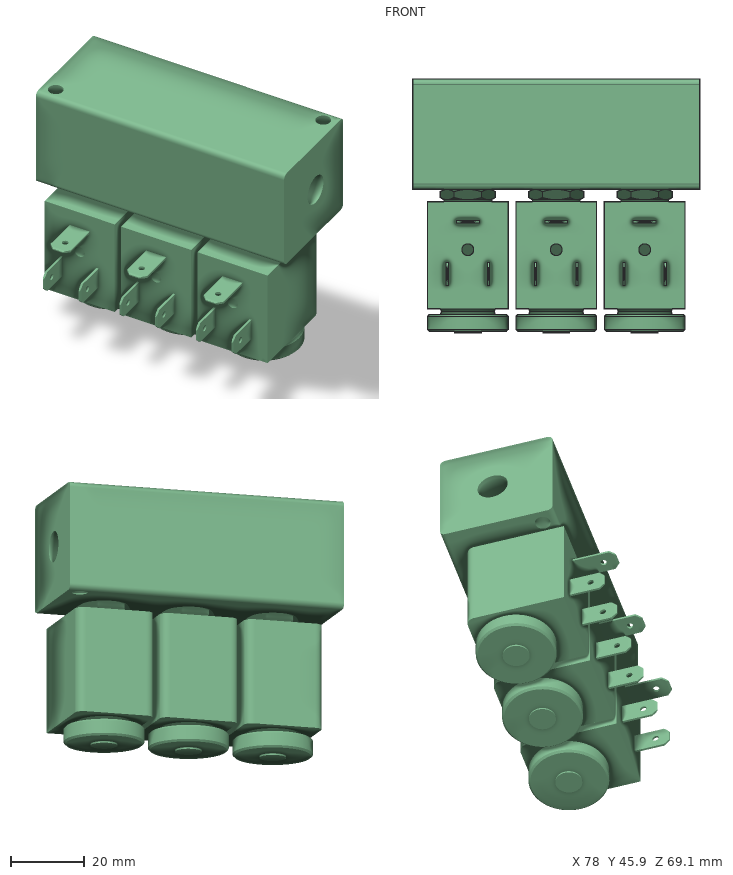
import cadquery as cq
import math


BLOCK_LENGTH = 78.0
BLOCK_DEPTH = 32.0
BLOCK_HEIGHT = 30.0
BLOCK_FRONT_Y = -15.0
BLOCK_BACK_Y = BLOCK_FRONT_Y + BLOCK_DEPTH
BLOCK_EDGE_RADIUS = 1.5
PORT_DIAMETER = 8.6
PORT_FROM_BACK = 15.0
MOUNT_HOLE_DIAMETER = 4.3
MOUNT_HOLE_INSET = 4.0

STATION_COUNT = 3
STATION_PITCH = 24.0

COIL_WIDTH = 22.0
COIL_HEIGHT = 29.1
COIL_OVERHANG = 2.0
COIL_FRONT_Y = BLOCK_FRONT_Y - COIL_OVERHANG
COIL_BACK_Y = COIL_WIDTH / 2
COIL_DEPTH = COIL_BACK_Y - COIL_FRONT_Y
COIL_BACK_RADIUS = 2.35
SCREW_HOLE_DIAMETER = 3.2
SCREW_HOLE_DEPTH = 7.8
SCREW_HOLE_DROP = 13.0

TERMINAL_WIDTH = 6.25
TERMINAL_THICKNESS = 0.6
TERMINAL_CORNER = 1.55
TERMINAL_TIP_LENGTH = 0.6
TERMINAL_TIP_INSET = 0.15
TERMINAL_HOLE_DIAMETER = 1.8
TERMINAL_HOLE_FROM_END = 4.0
GROUND_TERMINAL_LENGTH = 11.85
GROUND_TERMINAL_DROP = 5.45
POWER_TERMINAL_LENGTH = 10.0
POWER_TERMINAL_DROP = 19.6
POWER_TERMINAL_SPACING = 11.2

HEX_SIDES = 6
HEX_ACROSS_FLATS = 13.0
HEX_HEIGHT = 2.8
HEX_FACE_DIAMETER = HEX_ACROSS_FLATS
HEX_CHAMFER_HEIGHT = 0.6
COLLAR_DIAMETER = HEX_ACROSS_FLATS
COLLAR_HEIGHT = 0.55
STEM_DIAMETER = 7.3
STEM_PROTRUSION = 0.5
WASHER_DIAMETER = 15.0
WASHER_WAIST_DIAMETER = 14.35
WASHER_HEIGHT = 1.5
NUT_DIAMETER = COIL_WIDTH
NUT_HEIGHT = 4.6
NUT_CHAMFER = 0.55

COIL_TOP_Z = -(HEX_HEIGHT + COLLAR_HEIGHT)
COIL_BOTTOM_Z = COIL_TOP_Z - COIL_HEIGHT
NUT_TOP_Z = COIL_BOTTOM_Z - WASHER_HEIGHT
NUT_BOTTOM_Z = NUT_TOP_Z - NUT_HEIGHT
STEM_END_Z = NUT_BOTTOM_Z - STEM_PROTRUSION


def cylinder(diameter, bottom_z, height):
    """Upright cylinder on the Z axis."""
    return cq.Workplane("XY").workplane(offset=bottom_z).circle(diameter / 2).extrude(height)


def make_block():
    """Manifold block with a lengthwise port and two diagonal mounting holes."""
    block = (
        cq.Workplane("XY")
        .box(BLOCK_LENGTH, BLOCK_DEPTH, BLOCK_HEIGHT, centered=(True, False, False))
        .translate((0, BLOCK_FRONT_Y, 0))
        .edges("|X")
        .fillet(BLOCK_EDGE_RADIUS)
    )
    port = (
        cq.Workplane("YZ", origin=(-BLOCK_LENGTH / 2, 0, 0))
        .center(BLOCK_BACK_Y - PORT_FROM_BACK, BLOCK_HEIGHT / 2)
        .circle(PORT_DIAMETER / 2)
        .extrude(BLOCK_LENGTH)
    )
    mount_x = BLOCK_LENGTH / 2 - MOUNT_HOLE_INSET
    mount_holes = (
        cq.Workplane("XY")
        .pushPoints([
            (-mount_x, BLOCK_FRONT_Y + MOUNT_HOLE_INSET),
            (mount_x, BLOCK_BACK_Y - MOUNT_HOLE_INSET),
        ])
        .circle(MOUNT_HOLE_DIAMETER / 2)
        .extrude(BLOCK_HEIGHT)
    )
    return block.cut(port).cut(mount_holes)


def make_terminal(length):
    """Flat horizontal blade pointing to -Y from the origin, with a bevelled tip and a hole."""
    half_width = TERMINAL_WIDTH / 2
    blade = (
        cq.Workplane("XY")
        .workplane(offset=-TERMINAL_THICKNESS / 2)
        .moveTo(-half_width, 0)
        .lineTo(-half_width, TERMINAL_CORNER - length)
        .lineTo(TERMINAL_CORNER - half_width, -length)
        .lineTo(half_width - TERMINAL_CORNER, -length)
        .lineTo(half_width, TERMINAL_CORNER - length)
        .lineTo(half_width, 0)
        .close()
        .extrude(TERMINAL_THICKNESS)
        .faces("<Y")
        .edges("|X")
        .chamfer(TERMINAL_TIP_INSET, TERMINAL_TIP_LENGTH)
    )
    hole = (
        cylinder(TERMINAL_HOLE_DIAMETER, -TERMINAL_THICKNESS, 2 * TERMINAL_THICKNESS)
        .translate((0, TERMINAL_HOLE_FROM_END - length, 0))
    )
    return blade.cut(hole)


def make_coil():
    """Coil housing with its stem bore, screw hole and three terminals."""
    housing = (
        cq.Workplane("XY")
        .box(COIL_WIDTH, COIL_DEPTH, COIL_HEIGHT, centered=(True, False, False))
        .translate((0, COIL_FRONT_Y, COIL_BOTTOM_Z))
        .edges("|Z and >Y")
        .fillet(COIL_BACK_RADIUS)
    )
    bore = cylinder(STEM_DIAMETER, COIL_BOTTOM_Z, COIL_HEIGHT)
    screw_hole = (
        cq.Workplane("XZ", origin=(0, COIL_FRONT_Y, COIL_TOP_Z - SCREW_HOLE_DROP))
        .circle(SCREW_HOLE_DIAMETER / 2)
        .extrude(-SCREW_HOLE_DEPTH)
    )
    ground = make_terminal(GROUND_TERMINAL_LENGTH).translate(
        (0, COIL_FRONT_Y, COIL_TOP_Z - GROUND_TERMINAL_DROP)
    )
    coil = housing.cut(bore).cut(screw_hole).union(ground)

    upright_blade = make_terminal(POWER_TERMINAL_LENGTH).rotate((0, 0, 0), (0, 1, 0), 90)
    for side in (-1, 1):
        power = upright_blade.translate(
            (side * POWER_TERMINAL_SPACING / 2, COIL_FRONT_Y, COIL_TOP_Z - POWER_TERMINAL_DROP)
        )
        coil = coil.union(power)
    return coil


def make_hexagon():
    """Hexagon under the block, corners along X, with its corners chamfered top and bottom."""
    prism = (
        cq.Workplane("XY")
        .workplane(offset=-HEX_HEIGHT)
        .polygon(HEX_SIDES, HEX_ACROSS_FLATS, circumscribed=True)
        .extrude(HEX_HEIGHT)
        .rotate((0, 0, 0), (0, 0, 1), 180 / HEX_SIDES)
    )
    face_radius = HEX_FACE_DIAMETER / 2
    rim_radius = HEX_ACROSS_FLATS / math.sqrt(3)
    envelope = (
        cq.Workplane("XZ")
        .polyline([
            (0, 0),
            (face_radius, 0),
            (rim_radius, -HEX_CHAMFER_HEIGHT),
            (rim_radius, HEX_CHAMFER_HEIGHT - HEX_HEIGHT),
            (face_radius, -HEX_HEIGHT),
            (0, -HEX_HEIGHT),
        ])
        .close()
        .revolve(360, (0, 0), (0, 1))
    )
    return prism.intersect(envelope)


def make_washer():
    """Round washer under the coil, waisted at mid height."""
    radius = WASHER_DIAMETER / 2
    return (
        cq.Workplane("XZ")
        .polyline([
            (0, COIL_BOTTOM_Z),
            (radius, COIL_BOTTOM_Z),
            (WASHER_WAIST_DIAMETER / 2, COIL_BOTTOM_Z - WASHER_HEIGHT / 2),
            (radius, NUT_TOP_Z),
            (0, NUT_TOP_Z),
        ])
        .close()
        .revolve(360, (0, 0), (0, 1))
    )


def make_armature():
    """Armature that hangs from the block, passes through the coil and holds it from below."""
    collar = cylinder(COLLAR_DIAMETER, COIL_TOP_Z, COLLAR_HEIGHT)
    stem = cylinder(STEM_DIAMETER, STEM_END_Z, COIL_TOP_Z - STEM_END_Z)
    round_nut = cylinder(NUT_DIAMETER, NUT_BOTTOM_Z, NUT_HEIGHT).edges().chamfer(NUT_CHAMFER)
    return make_hexagon().union(collar).union(stem).union(make_washer()).union(round_nut)


block = make_block()
coil = make_coil()
armature = make_armature()

bodies = [block.val()]
for station in range(STATION_COUNT):
    station_x = (station - (STATION_COUNT - 1) / 2) * STATION_PITCH
    bodies.append(coil.translate((station_x, 0, 0)).val())
    bodies.append(armature.translate((station_x, 0, 0)).val())

result = cq.Compound.makeCompound(bodies)